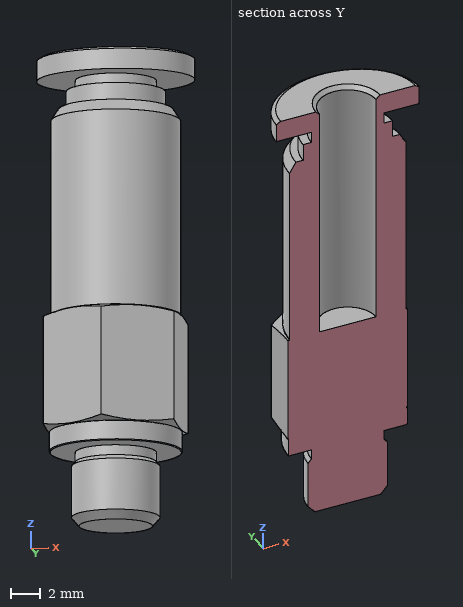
import cadquery as cq
import math

TOTAL_HEIGHT = 32.3
THREAD_TOP = 4.1
WASHER_BOTTOM = 5.07
HEX_BOTTOM = 6.43
HEX_TOP = 14.47
BARREL_TOP = 28.68
COLLAR_TOP = 29.95
BUTTON_BOTTOM = 30.72

THREAD_DIAMETER = 6.0
THREAD_END_CHAMFER = 0.52
THREAD_END_CHAMFER_HEIGHT = 0.58
NECK_DIAMETER = 5.5
THREAD_TOP_CHAMFER_HEIGHT = 0.3

ACROSS_FLATS = 9.0
ACROSS_CORNERS = ACROSS_FLATS / math.cos(math.radians(30))
HEX_CHAMFER_ANGLE = 20.0
HEX_FACE_DIAMETER = 8.72
WASHER_EDGE_CHAMFER = 0.05

BARREL_DIAMETER = 8.82
BARREL_CHAMFER = 0.5
BARREL_CHAMFER_HEIGHT = 0.78
COLLAR_DIAMETER = 6.75
BUTTON_LENGTH = 10.8
BUTTON_WIDTH = 8.65
BUTTON_CHAMFER = 0.32
BUTTON_CHAMFER_HEIGHT = 0.2

SOCKET_DIAMETER = 4.23
SOCKET_CHAMFER = 0.3


def cylinder(diameter, bottom, top):
    return cq.Workplane("XY").workplane(offset=bottom).circle(diameter / 2).extrude(top - bottom)


def threaded_end():
    """Plain thread cylinder with a bevelled tip, below a narrower relief neck."""
    thread_radius = THREAD_DIAMETER / 2
    neck_radius = NECK_DIAMETER / 2
    profile = [
        (0, 0),
        (thread_radius - THREAD_END_CHAMFER, 0),
        (thread_radius, THREAD_END_CHAMFER_HEIGHT),
        (thread_radius, THREAD_TOP),
        (neck_radius, THREAD_TOP + THREAD_TOP_CHAMFER_HEIGHT),
        (neck_radius, WASHER_BOTTOM),
        (0, WASHER_BOTTOM),
    ]
    return cq.Workplane("XZ").polyline(profile).close().revolve(360, (0, 0), (0, 1))


def washer_face():
    washer = cylinder(ACROSS_FLATS, WASHER_BOTTOM, HEX_BOTTOM)
    return washer.faces("<Z").edges().chamfer(WASHER_EDGE_CHAMFER)


def hexagon():
    """Hexagon with corners on the Y axis, its corners turned down by a cone at each end."""
    prism = (
        cq.Workplane("XY")
        .workplane(offset=HEX_BOTTOM)
        .polygon(6, ACROSS_CORNERS)
        .extrude(HEX_TOP - HEX_BOTTOM)
        .rotate((0, 0, 0), (0, 0, 1), 90)
    )
    face_radius = HEX_FACE_DIAMETER / 2
    corner_radius = ACROSS_CORNERS / 2
    drop = (corner_radius - face_radius) * math.tan(math.radians(HEX_CHAMFER_ANGLE))
    envelope_profile = [
        (0, HEX_BOTTOM),
        (face_radius, HEX_BOTTOM),
        (corner_radius, HEX_BOTTOM + drop),
        (corner_radius, HEX_TOP - drop),
        (face_radius, HEX_TOP),
        (0, HEX_TOP),
    ]
    envelope = cq.Workplane("XZ").polyline(envelope_profile).close().revolve(360, (0, 0), (0, 1))
    return prism.intersect(envelope)


def barrel():
    body = cylinder(BARREL_DIAMETER, HEX_TOP, BARREL_TOP)
    return body.faces(">Z").edges().chamfer(BARREL_CHAMFER_HEIGHT, BARREL_CHAMFER)


def release_sleeve():
    """Collar and neck leading up to the oval release button."""
    collar = cylinder(COLLAR_DIAMETER, BARREL_TOP, COLLAR_TOP)
    neck = cylinder(NECK_DIAMETER, COLLAR_TOP, BUTTON_BOTTOM)
    button = (
        cq.Workplane("XY")
        .workplane(offset=BUTTON_BOTTOM)
        .ellipse(BUTTON_LENGTH / 2, BUTTON_WIDTH / 2)
        .extrude(TOTAL_HEIGHT - BUTTON_BOTTOM)
        .faces(">Z")
        .edges()
        .chamfer(BUTTON_CHAMFER_HEIGHT, BUTTON_CHAMFER)
    )
    return collar.union(neck).union(button)


def tube_socket():
    """Blind bore with a countersunk mouth."""
    bore_radius = SOCKET_DIAMETER / 2
    profile = [
        (0, HEX_TOP),
        (bore_radius, HEX_TOP),
        (bore_radius, TOTAL_HEIGHT - SOCKET_CHAMFER),
        (bore_radius + SOCKET_CHAMFER, TOTAL_HEIGHT),
        (0, TOTAL_HEIGHT),
    ]
    return cq.Workplane("XZ").polyline(profile).close().revolve(360, (0, 0), (0, 1))


result = (
    threaded_end()
    .union(washer_face())
    .union(hexagon())
    .union(barrel())
    .union(release_sleeve())
    .cut(tube_socket())
)